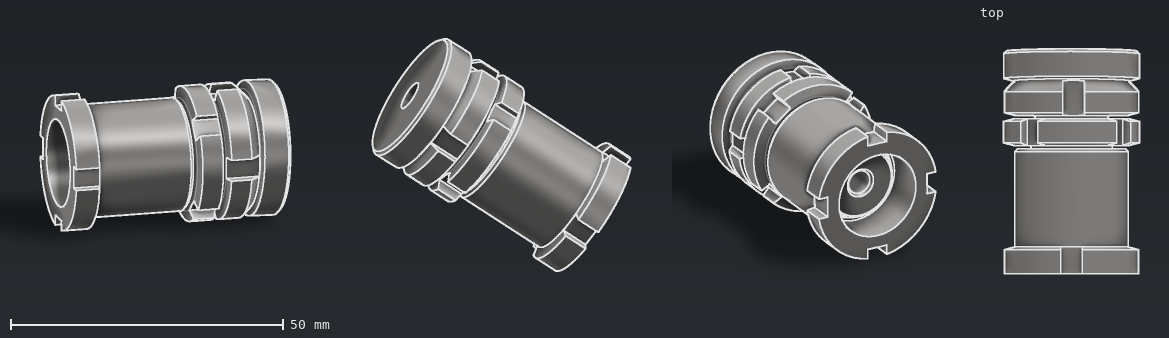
import cadquery as cq
import math


outer_radius = 12.5
rim_length = 5.0
rim_chamfer_angle = 15
slot_width = 4.0
sleeve_radius = 10.45
slot_floor = sleeve_radius
slot_count = 4
thread_radius = 7.5
rim_chamfer_radius = sleeve_radius
rim_chamfer_slope = math.tan(math.radians(rim_chamfer_angle))
rim_chamfer_length = (outer_radius - rim_chamfer_radius) * rim_chamfer_slope

sleeve_length = 23.0
sleeve_chamfer = 0.6
bore_radius = 8.1
bore_depth = 8.0

nut_start = 23.55
nut_end = nut_start + rim_length
nut_slot_angle = 39

spindle_start = 6.35
tip_chamfer = 0.5
nose_radius = thread_radius - tip_chamfer
nose_length = 1.05
hole_radius = 2.25
hole_chamfer = 0.5
neck_radius = 6.75
neck_length = 1.0
neck_fillet = 0.4
head_start = 29.1
head_rim_end = 33.48
ball_radius = 15.95
ball_center = head_rim_end - math.sqrt(ball_radius**2 - outer_radius**2)
ball_top = ball_center + ball_radius
spindle_slot_angle = -2

washer_length = 5.45
washer_back = 40.95
washer_rise = 0.05
washer_tilt = 2
washer_back_chamfer = 0.55
washer_front_radius = 11.0
washer_front_chamfer = (outer_radius - washer_front_radius) * rim_chamfer_slope
washer_hole_radius = hole_radius + hole_chamfer


def turned(profile):
    """Close a (radius, y) profile and turn it about the Y axis."""
    return profile.close().revolve(360, (0, 0, 0), (0, 1, 0))


def turned_polygon(points):
    """Turn the polygon through the given (radius, y) points about the Y axis."""
    return turned(cq.Workplane("XY").polyline(points))


def cut_slots(body, start, end, first_angle):
    """Cut the spanner slots, evenly spaced around the Y axis, between two y positions."""
    slot_depth = 2 * (outer_radius - slot_floor)
    blank = cq.Workplane("XY").box(slot_depth, end - start, slot_width, centered=(False, False, True))
    blank = blank.translate((slot_floor, start, 0))
    for index in range(slot_count):
        angle = first_angle + index * 360 / slot_count
        body = body.cut(blank.rotate((0, 0, 0), (0, 1, 0), -angle))
    return body


def make_sleeve():
    body = turned_polygon([
        (bore_radius, 0),
        (outer_radius, 0),
        (outer_radius, rim_length - rim_chamfer_length),
        (sleeve_radius, rim_length),
        (sleeve_radius, sleeve_length - sleeve_chamfer),
        (sleeve_radius - sleeve_chamfer, sleeve_length),
        (thread_radius, sleeve_length),
        (thread_radius, bore_depth),
        (bore_radius, bore_depth),
    ])
    return cut_slots(body, 0, rim_length, 0)


def make_nut():
    body = turned_polygon([
        (thread_radius, nut_start),
        (rim_chamfer_radius, nut_start),
        (outer_radius, nut_start + rim_chamfer_length),
        (outer_radius, nut_end - rim_chamfer_length),
        (rim_chamfer_radius, nut_end),
        (thread_radius, nut_end),
    ])
    return cut_slots(body, nut_start, nut_end, nut_slot_angle)


def ball_y(radius):
    """The y position of the ball surface at a distance from the axis."""
    return ball_center + math.sqrt(ball_radius**2 - radius**2)


def make_spindle():
    nose_end = spindle_start + nose_length
    fillet_lift = neck_fillet * (1 - math.sqrt(0.5))
    mid_radius = (outer_radius + hole_radius) / 2
    profile = (
        cq.Workplane("XY")
        .moveTo(hole_radius, spindle_start + hole_chamfer)
        .lineTo(hole_radius + hole_chamfer, spindle_start)
        .lineTo(nose_radius - tip_chamfer, spindle_start)
        .lineTo(nose_radius, spindle_start + tip_chamfer)
        .lineTo(nose_radius, nose_end)
        .lineTo(thread_radius, nose_end + tip_chamfer)
        .lineTo(thread_radius, head_start - neck_length)
        .lineTo(neck_radius, head_start - neck_length)
        .lineTo(neck_radius, head_start - neck_fillet)
        .threePointArc(
            (neck_radius + fillet_lift, head_start - fillet_lift),
            (neck_radius + neck_fillet, head_start),
        )
        .lineTo(rim_chamfer_radius, head_start)
        .lineTo(outer_radius, head_start + rim_chamfer_length)
        .lineTo(outer_radius, head_rim_end)
        .threePointArc((mid_radius, ball_y(mid_radius)), (hole_radius, ball_y(hole_radius)))
    )
    return cut_slots(turned(profile), head_start, ball_top, spindle_slot_angle)


def make_washer():
    body = turned_polygon([
        (washer_hole_radius, -washer_length),
        (washer_front_radius, -washer_length),
        (outer_radius, washer_front_chamfer - washer_length),
        (outer_radius, -washer_back_chamfer),
        (outer_radius - washer_back_chamfer, 0),
        (washer_hole_radius, 0),
    ])
    body = body.rotate((0, 0, 0), (1, 0, 0), -washer_tilt).translate((0, washer_back, washer_rise))
    seat = cq.Workplane("XY").sphere(ball_radius).translate((0, ball_center, 0))
    return body.cut(seat)


sleeve = make_sleeve()
nut = make_nut()
spindle = make_spindle()
washer = make_washer()

result = cq.Compound.makeCompound([sleeve.val(), nut.val(), spindle.val(), washer.val()])